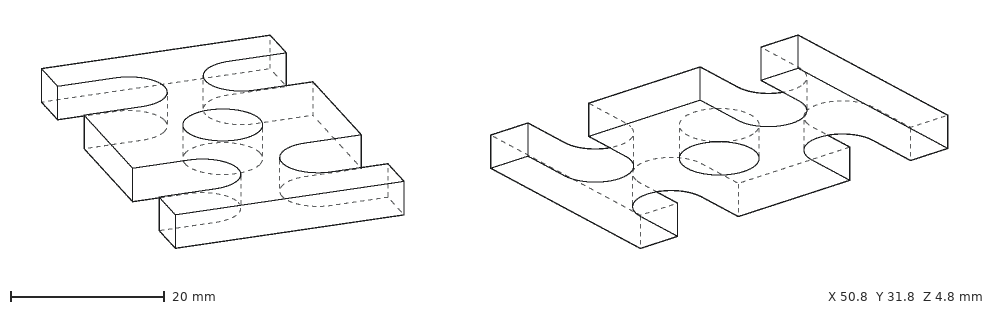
import cadquery as cq

length = 50.8
width = 31.75
thickness = 4.8

hole_diameter = 10.4

slot_width = 10.0
slot_offset = 14.2
left_slot_depth = 13.05
right_slot_depth = 12.85


def edge_slot(center_x, depth, side):
    """Cutter for a slot entering from the +Y (side=1) or -Y (side=-1) edge."""
    radius = slot_width / 2
    edge_y = side * width / 2
    arc_start_y = edge_y - side * (depth - radius)
    tip_y = edge_y - side * depth
    return (
        cq.Workplane("XY")
        .moveTo(center_x - radius, edge_y)
        .lineTo(center_x - radius, arc_start_y)
        .threePointArc((center_x, tip_y), (center_x + radius, arc_start_y))
        .lineTo(center_x + radius, edge_y)
        .close()
        .extrude(thickness)
    )


plate = cq.Workplane("XY").box(length, width, thickness, centered=(True, True, False))
result = plate.faces(">Z").workplane().hole(hole_diameter)

for side in (-1, 1):
    result = result.cut(edge_slot(-slot_offset, left_slot_depth, side))
    result = result.cut(edge_slot(slot_offset, right_slot_depth, side))